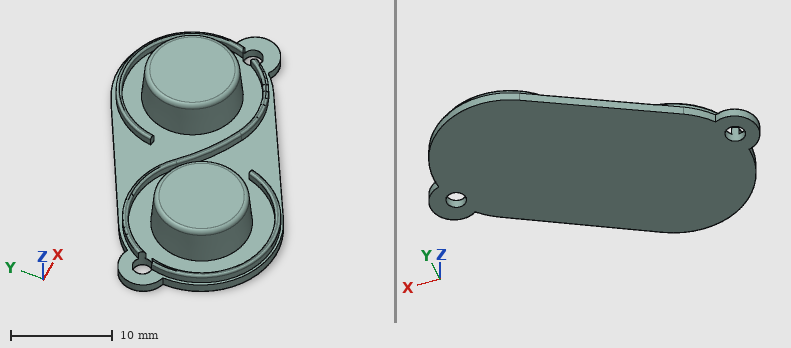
import math

import cadquery as cq

BUTTON_PITCH_X = 14.4
BUTTON_PITCH_Y = 7.45

PLATE_THICKNESS = 1.0
LEFT_END_RADIUS = 8.1
RIGHT_END_RADIUS = 8.0
LEFT_END_SHIFT_Y = 0.05
EAR_OFFSET = 7.99
EAR_RADIUS = 2.5
HOLE_RADIUS = 1.0
LEFT_EAR_ANGLE = 158.3
RIGHT_EAR_ANGLE = -26.5
LEFT_HOLE_OFFSET = 8.1
RIGHT_HOLE_OFFSET = 7.7

TOTAL_HEIGHT = 5.0
BUTTON_BASE_RADIUS = 5.0
BUTTON_DRAFT = 5.0
BUTTON_FILLET = 0.5

RIB_HEIGHT = 1.0
RIB_WIDTH = 0.58
RIB_FILLET = 0.25
LEFT_RIB_RADIUS = 7.5
RIGHT_RIB_RADIUS = 7.22
RIB_CROSSING_RADIUS = 20.5
LEFT_RIB_END_ANGLE = -16.0
RIGHT_RIB_END_ANGLE = 171.0

LEFT_CENTER = (-BUTTON_PITCH_X / 2, -BUTTON_PITCH_Y / 2)
RIGHT_CENTER = (BUTTON_PITCH_X / 2, BUTTON_PITCH_Y / 2)
BUTTON_DISTANCE = math.hypot(BUTTON_PITCH_X, BUTTON_PITCH_Y)
PITCH_ANGLE = math.degrees(math.atan2(BUTTON_PITCH_Y, BUTTON_PITCH_X))


def polar(center, radius, angle):
    """Point at the given radius and angle (degrees) around a center."""
    turn = math.radians(angle)
    return (center[0] + radius * math.cos(turn), center[1] + radius * math.sin(turn))


def triangle_angle(side_a, side_b, opposite):
    """Angle (degrees) between two sides of a triangle, facing the opposite side."""
    cosine = (side_a**2 + side_b**2 - opposite**2) / (2 * side_a * side_b)
    return math.degrees(math.acos(cosine))


def make_plate():
    """Flat plate with round ends and one round ear at each end."""
    left_end = (LEFT_CENTER[0], LEFT_CENTER[1] + LEFT_END_SHIFT_Y)
    end_x = RIGHT_CENTER[0] - left_end[0]
    end_y = RIGHT_CENTER[1] - left_end[1]
    end_angle = math.degrees(math.atan2(end_y, end_x))

    radius_change = LEFT_END_RADIUS - RIGHT_END_RADIUS
    tangent = math.degrees(math.acos(radius_change / math.hypot(end_x, end_y)))
    upper = end_angle + tangent
    lower = end_angle - tangent
    plate = (
        cq.Workplane("XY")
        .moveTo(*polar(left_end, LEFT_END_RADIUS, upper))
        .threePointArc(
            polar(left_end, LEFT_END_RADIUS, end_angle + 180),
            polar(left_end, LEFT_END_RADIUS, lower),
        )
        .lineTo(*polar(RIGHT_CENTER, RIGHT_END_RADIUS, lower))
        .threePointArc(
            polar(RIGHT_CENTER, RIGHT_END_RADIUS, end_angle),
            polar(RIGHT_CENTER, RIGHT_END_RADIUS, upper),
        )
        .close()
        .extrude(PLATE_THICKNESS)
    )
    left_ear = polar(LEFT_CENTER, EAR_OFFSET, LEFT_EAR_ANGLE)
    right_ear = polar(RIGHT_CENTER, EAR_OFFSET, RIGHT_EAR_ANGLE)
    ears = cq.Workplane("XY").pushPoints([left_ear, right_ear])
    return plate.union(ears.circle(EAR_RADIUS).extrude(PLATE_THICKNESS))


def make_button(center):
    """Drafted round button with a filleted top edge."""
    button = cq.Workplane("XY", origin=(center[0], center[1], PLATE_THICKNESS))
    button = button.circle(BUTTON_BASE_RADIUS)
    button = button.extrude(TOTAL_HEIGHT - PLATE_THICKNESS, taper=BUTTON_DRAFT)
    return button.faces(">Z").edges().fillet(BUTTON_FILLET)


def make_rib():
    """Rib that rounds the left button, crosses between both and rounds the right one."""
    left_reach = RIB_CROSSING_RADIUS + LEFT_RIB_RADIUS
    right_reach = RIB_CROSSING_RADIUS - RIGHT_RIB_RADIUS
    left_exit = PITCH_ANGLE + triangle_angle(left_reach, BUTTON_DISTANCE, right_reach)
    right_entry = PITCH_ANGLE + 360 - triangle_angle(right_reach, BUTTON_DISTANCE, left_reach)
    crossing_center = polar(LEFT_CENTER, left_reach, left_exit)
    crossing_middle = (left_exit + 180 + right_entry) / 2
    left_middle = (LEFT_RIB_END_ANGLE + left_exit + 360) / 2
    right_middle = (right_entry + RIGHT_RIB_END_ANGLE + 360) / 2

    path = cq.Workplane("XY", origin=(0, 0, PLATE_THICKNESS))
    path = path.moveTo(*polar(LEFT_CENTER, LEFT_RIB_RADIUS, LEFT_RIB_END_ANGLE))
    path = path.threePointArc(
        polar(LEFT_CENTER, LEFT_RIB_RADIUS, left_middle),
        polar(LEFT_CENTER, LEFT_RIB_RADIUS, left_exit),
    )
    path = path.threePointArc(
        polar(crossing_center, RIB_CROSSING_RADIUS, crossing_middle),
        polar(RIGHT_CENTER, RIGHT_RIB_RADIUS, right_entry),
    )
    path = path.threePointArc(
        polar(RIGHT_CENTER, RIGHT_RIB_RADIUS, right_middle),
        polar(RIGHT_CENTER, RIGHT_RIB_RADIUS, RIGHT_RIB_END_ANGLE),
    )
    start_tangent = LEFT_RIB_END_ANGLE - 90
    section = cq.Plane(
        origin=(*polar(LEFT_CENTER, LEFT_RIB_RADIUS, LEFT_RIB_END_ANGLE), PLATE_THICKNESS),
        xDir=(*polar((0, 0), 1, LEFT_RIB_END_ANGLE), 0),
        normal=(*polar((0, 0), 1, start_tangent), 0),
    )
    half = RIB_WIDTH / 2
    flat = half - RIB_FILLET
    shoulder = RIB_HEIGHT - RIB_FILLET
    bend = RIB_FILLET * math.sqrt(0.5)
    profile = (
        cq.Workplane(section)
        .moveTo(-half, 0)
        .lineTo(half, 0)
        .lineTo(half, shoulder)
        .threePointArc((flat + bend, shoulder + bend), (flat, RIB_HEIGHT))
        .lineTo(-flat, RIB_HEIGHT)
        .threePointArc((-flat - bend, shoulder + bend), (-half, shoulder))
        .close()
    )
    return profile.sweep(path)


def make_holes():
    """Cutters for the two screw holes, which also interrupt the rib."""
    left_hole = polar(LEFT_CENTER, LEFT_HOLE_OFFSET, LEFT_EAR_ANGLE)
    right_hole = polar(RIGHT_CENTER, RIGHT_HOLE_OFFSET, RIGHT_EAR_ANGLE)
    holes = cq.Workplane("XY").pushPoints([left_hole, right_hole])
    return holes.circle(HOLE_RADIUS).extrude(TOTAL_HEIGHT)


result = make_plate().union(make_rib())
for button_center in (LEFT_CENTER, RIGHT_CENTER):
    result = result.union(make_button(button_center))
result = result.cut(make_holes())